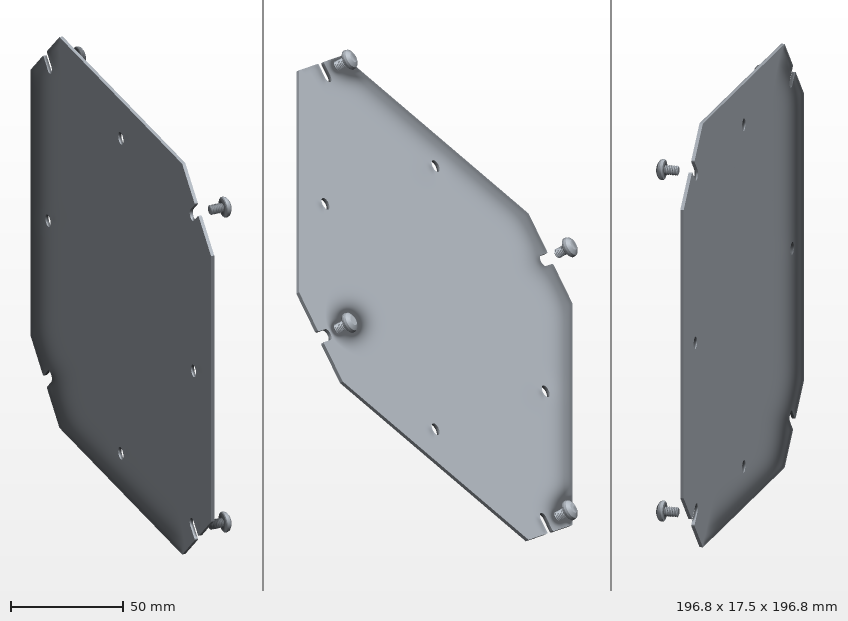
import cadquery as cq
import math

plate_side = 196.8
plate_thickness = 1.5
corner_cut = 31.5

fixing_offset = 79.3
hole_diameter = 5.7

slot_width = 5.3
slot_end_past_screw = 5.0
slot_mouth_radius = 0.8

overall_depth = 17.5
screw_length = 9.6
head_diameter = 9.5
head_height = 3.3
head_rim_height = 0.8
head_under_chamfer_height = 0.4
head_shoulder_height = 1.0
head_edge_inset = 0.4
crown_diameter = 4.7
thread_diameter = 4.5
thread_depth = 0.4
thread_pitch = 0.8

head_top = overall_depth
head_seat = head_top - head_height
shank_tip = head_top - screw_length
thread_count = round((head_seat - shank_tip) / thread_pitch)


def make_slot_cutter():
    """Slot lying along +X, from its round end to the cut corner, with a rounded mouth."""
    half_width = slot_width / 2
    end = math.hypot(fixing_offset, fixing_offset) - slot_end_past_screw
    mouth = (plate_side - corner_cut) / math.sqrt(2)
    flare_start = mouth - slot_mouth_radius
    flare_half_width = half_width + slot_mouth_radius
    flare_mid_x = flare_start + slot_mouth_radius * math.sin(math.pi / 4)
    flare_mid_z = flare_half_width - slot_mouth_radius * math.cos(math.pi / 4)
    return (
        cq.Workplane("XZ")
        .moveTo(end + half_width, -half_width)
        .lineTo(flare_start, -half_width)
        .threePointArc((flare_mid_x, -flare_mid_z), (mouth, -flare_half_width))
        .lineTo(mouth, flare_half_width)
        .threePointArc((flare_mid_x, flare_mid_z), (flare_start, half_width))
        .lineTo(end + half_width, half_width)
        .threePointArc((end, 0), (end + half_width, -half_width))
        .close()
        .extrude(-plate_thickness)
    )


def make_plate():
    """Sheet with its front face at Y = 0, four edge holes and four corner slots."""
    plate = (
        cq.Workplane("XZ")
        .rect(plate_side, plate_side)
        .extrude(-plate_thickness)
        .edges("|Y")
        .chamfer(corner_cut)
    )
    holes = (
        cq.Workplane("XZ")
        .polarArray(fixing_offset, 0, 360, 4)
        .circle(hole_diameter / 2)
        .extrude(-plate_thickness)
    )
    plate = plate.cut(holes)
    slot = make_slot_cutter()
    for angle in (45, 135, 225, 315):
        plate = plate.cut(slot.rotate((0, 0, 0), (0, 1, 0), angle))
    return plate


def make_screw(x, z):
    """Round-topped screw turned about an axis along Y, its thread made as V-shaped rings."""
    crest_radius = thread_diameter / 2
    root_radius = crest_radius - thread_depth
    rim_radius = head_diameter / 2
    edge_radius = rim_radius - head_edge_inset
    crown_radius = crown_diameter / 2

    rim_bottom = head_seat + head_under_chamfer_height
    rim_top = rim_bottom + head_rim_height
    dome_base = rim_top + head_shoulder_height

    dome_rise = head_top - dome_base
    centre_drop = (edge_radius**2 - crown_radius**2 - dome_rise**2) / (2 * dome_rise)
    dome_radius = math.hypot(edge_radius, centre_drop)
    dome_mid_radius = (edge_radius + crown_radius) / 2
    dome_mid_y = dome_base - centre_drop + math.sqrt(dome_radius**2 - dome_mid_radius**2)

    profile = cq.Workplane("XY").moveTo(0, shank_tip).lineTo(root_radius, shank_tip)
    for i in range(thread_count):
        ring_start = shank_tip + i * thread_pitch
        profile = profile.lineTo(crest_radius, ring_start + thread_pitch / 2)
        profile = profile.lineTo(root_radius, ring_start + thread_pitch)
    return (
        profile.lineTo(edge_radius, head_seat)
        .lineTo(rim_radius, rim_bottom)
        .lineTo(rim_radius, rim_top)
        .lineTo(edge_radius, dome_base)
        .threePointArc((dome_mid_radius, dome_mid_y), (crown_radius, head_top))
        .lineTo(0, head_top)
        .close()
        .revolve(360, (0, 0, 0), (0, 1, 0))
        .translate((x, 0, z))
    )


plate = make_plate()
screws = [
    make_screw(side_x * fixing_offset, side_z * fixing_offset)
    for side_x in (-1, 1)
    for side_z in (-1, 1)
]

result = cq.Compound.makeCompound([plate.val(), *[screw.val() for screw in screws]])